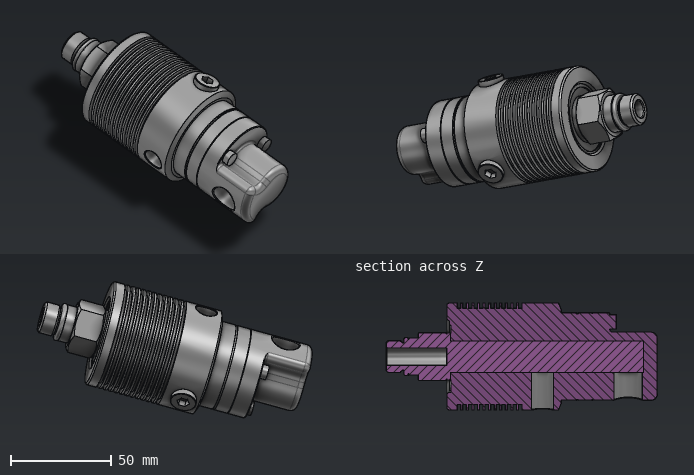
import cadquery as cq
import math

total_length = 135.2
hex_start = 16.0
hex_end = 30.1
housing_start = 30.3
collar_end = 87.3
neck_end = 111.5

spigot_radius = 8.0
spigot_length = 8.1
spigot_chamfer = 1.0
neck_radius = 6.9
bead_start = 8.8
bead_length = 2.5
bead_radius = 9.6
shoulder_radius = 9.3
hex_across_flats = 23.9
hex_chamfer_radius = 11.4
hex_chamfer_angle = 30.0
rotor_bore_radius = 4.26
rotor_bore_chamfer = 0.5
hub_radius = 11.8
shaft_radius = spigot_radius
shaft_end = 128.4

collar_radius = 26.7
collar_front_chamfer = 0.8
collar_rear_chamfer_length = 1.4
collar_rear_chamfer_depth = 3.2
groove_count = 12
groove_first = 35.5
groove_pitch = 2.77
groove_width = 1.6
groove_floor_radius = 24.13
body_radius = 21.83
body_edge_chamfer = 0.4
rim_chamfer_reach = 135.0
seam_start = 94.8
seam_width = 1.0
seam_depth = 0.4
joint_line_start = 102.5
joint_line_width = 0.3
joint_line_depth = 0.3

recess_radius = 17.7
recess_chamfer = 1.01
recess_depth = 2.0
recess_floor = housing_start + recess_depth
ring_thickness = 0.8
ring_inner_radius = 16.29
ring_inner_offset = 0.8
ear_offset_y = 14.5
ear_offset_z = 6.1
ear_radius = 2.37
ear_hole_radius = 1.01

boss_radius = 12.3
screw_circle_radius = 17.3
screw_head_radius = 3.58
screw_head_height = 3.2
screw_head_overlap = 1.4
screw_angles = (0.0, 120.0, 240.0)
screw_clearance_radius = 4.7
tongue_corner_radius = 3.5
run_out_length = 6.8
tongue_end_fillet = 3.2
tongue_root_fillet = 1.2

port_angle = 180.0
side_port_x = 78.0
side_port_radius = 5.34
side_port_chamfer = 0.4
tongue_port_x = 120.6
tongue_port_radius = 6.96
tongue_port_chamfer = 0.5
plug_angles = (60.0, -60.0)
plug_radius = 6.5
plug_top = 29.0
plug_root = 21.6
plug_edge_chamfer = 0.3
plug_socket_across_flats = 5.5
plug_socket_depth = 3.4

cut_margin = 1.4


def rod(start, end, radius):
    """Cylinder along X between two stations."""
    return cq.Workplane("YZ", origin=(start, 0, 0)).circle(radius).extrude(end - start)


def turned(points):
    """Solid of revolution about X from (x, radius) points; closed along the axis."""
    outline = [(points[0][0], 0)] + points + [(points[-1][0], 0)]
    return cq.Workplane("XY").polyline(outline).close().revolve(360, (0, 0, 0), (1, 0, 0))


def ring_cut(start, width, outer_radius, inner_radius):
    """Square-sided annular groove about X."""
    return rod(start, start + width, outer_radius).cut(rod(start, start + width, inner_radius))


def polar(radius, angle):
    """(y, z) of a point at an angle in degrees from +Y."""
    return radius * math.cos(math.radians(angle)), radius * math.sin(math.radians(angle))


def toward(start, end, distance):
    """Point at a distance from start on the way to end."""
    span = math.dist(start, end)
    return tuple(a + (b - a) * distance / span for a, b in zip(start, end))


def midpoint(a, b):
    return (a[0] + b[0]) / 2, (a[1] + b[1]) / 2


def mirrored(point):
    return point[0], -point[1]


def hexagon():
    corner_radius = hex_across_flats / math.sqrt(3)
    chamfer_length = (corner_radius - hex_chamfer_radius) * math.tan(math.radians(hex_chamfer_angle))
    prism = (
        cq.Workplane("YZ", origin=(hex_start, 0, 0))
        .polygon(6, 2 * corner_radius)
        .extrude(hex_end - hex_start)
        .rotate((0, 0, 0), (1, 0, 0), 30)
    )
    envelope = turned([
        (hex_start, hex_chamfer_radius),
        (hex_start + chamfer_length, corner_radius),
        (hex_end - chamfer_length, corner_radius),
        (hex_end, hex_chamfer_radius),
    ])
    return prism.intersect(envelope)


def round_bead():
    """Disc about X whose rim is a half circle."""
    rim_root = bead_radius - bead_length / 2
    bead_end = bead_start + bead_length
    return (
        cq.Workplane("XY")
        .moveTo(bead_start, 0)
        .lineTo(bead_start, rim_root)
        .threePointArc((bead_start + bead_length / 2, bead_radius), (bead_end, rim_root))
        .lineTo(bead_end, 0)
        .close()
        .revolve(360, (0, 0, 0), (1, 0, 0))
    )


def make_rotor():
    spigot = rod(0, spigot_length, spigot_radius).edges().chamfer(spigot_chamfer)
    shoulder = rod(bead_start + bead_length, hex_start, shoulder_radius)
    rotor = spigot.union(rod(spigot_length / 2, hex_start, neck_radius))
    rotor = rotor.union(round_bead()).union(shoulder).union(hexagon())
    rotor = rotor.union(rod(hex_end, recess_floor, hub_radius))
    rotor = rotor.union(rod(recess_floor, shaft_end, shaft_radius))
    return rotor.cut(turned([
        (0, rotor_bore_radius + rotor_bore_chamfer),
        (rotor_bore_chamfer, rotor_bore_radius),
        (hex_end, rotor_bore_radius),
    ]))


def turned_body():
    body = turned([
        (housing_start, collar_radius - collar_front_chamfer),
        (housing_start + collar_front_chamfer, collar_radius),
        (collar_end - collar_rear_chamfer_length, collar_radius),
        (collar_end, collar_radius - collar_rear_chamfer_depth),
        (collar_end, body_radius),
        (total_length, body_radius),
    ])
    for i in range(groove_count):
        start = groove_first + i * groove_pitch
        body = body.cut(ring_cut(start, groove_width, collar_radius + cut_margin, groove_floor_radius))
    outside = body_radius + cut_margin
    body = body.cut(ring_cut(seam_start, seam_width, outside, body_radius - seam_depth))
    return body.cut(ring_cut(joint_line_start, joint_line_width, outside, body_radius - joint_line_depth))


def front_recess():
    return turned([
        (housing_start, recess_radius + recess_chamfer),
        (housing_start + recess_chamfer, recess_radius),
        (recess_floor, recess_radius),
    ])


def retaining_ring():
    """Open ring on the recess floor, with a pierced ear at each end."""
    start = recess_floor - ring_thickness
    opening = rod(start, recess_floor, ring_inner_radius).translate((0, -ring_inner_offset, 0))
    ring = rod(start, recess_floor, recess_radius).cut(opening)
    gap = cq.Workplane("XY").box(
        ring_thickness, 2 * recess_radius, 2 * ear_offset_z
    ).translate((start + ring_thickness / 2, -ear_offset_y - recess_radius + cut_margin, 0))
    ring = ring.cut(gap)
    ear_places = [(-ear_offset_y, ear_offset_z), (-ear_offset_y, -ear_offset_z)]
    for y, z in ear_places:
        ring = ring.union(rod(start, recess_floor, ear_radius).translate((0, y, z)))
    for y, z in ear_places:
        ring = ring.cut(rod(start, recess_floor, ear_hole_radius).translate((0, y, z)))
    return ring


def tongue_surround():
    """Space round the tongue: a round boss, two flanks, hollows round the two lower screws
    and two corners that run out tangent to the outer cylinder."""
    screw_angle = screw_angles[1]
    screw = polar(screw_circle_radius, screw_angle)
    lean = math.degrees(math.acos((boss_radius + screw_clearance_radius) / screw_circle_radius))
    flank_angle = screw_angle - lean
    boss_point = polar(boss_radius, flank_angle)
    back = polar(screw_clearance_radius, flank_angle)
    hollow_start = (screw[0] - back[0], screw[1] - back[1])
    to_axis = body_radius - tongue_corner_radius
    to_screw = screw_clearance_radius + tongue_corner_radius
    turn = math.degrees(math.acos(
        (screw_circle_radius**2 + to_axis**2 - to_screw**2) / (2 * screw_circle_radius * to_axis)
    ))
    corner_angle = screw_angle + turn
    corner = polar(to_axis, corner_angle)
    hollow_end = toward(screw, corner, screw_clearance_radius)
    hollow_middle = toward(screw, midpoint(hollow_start, hollow_end), screw_clearance_radius)
    outer_point = polar(body_radius, corner_angle)
    corner_middle = toward(corner, midpoint(hollow_end, outer_point), tongue_corner_radius)
    run_out = polar(run_out_length, corner_angle + 90)
    clear_point = (outer_point[0] + run_out[0], outer_point[1] + run_out[1])
    far = 2 * body_radius
    return (
        cq.Workplane("YZ", origin=(neck_end, 0, 0))
        .moveTo(*mirrored(boss_point))
        .threePointArc((boss_radius, 0), boss_point)
        .lineTo(*hollow_start)
        .threePointArc(hollow_middle, hollow_end)
        .threePointArc(corner_middle, outer_point)
        .lineTo(*clear_point)
        .lineTo(clear_point[0], far)
        .lineTo(far, far)
        .lineTo(far, -far)
        .lineTo(clear_point[0], -far)
        .lineTo(*mirrored(clear_point))
        .lineTo(*mirrored(outer_point))
        .threePointArc(mirrored(corner_middle), mirrored(hollow_end))
        .threePointArc(mirrored(hollow_middle), mirrored(hollow_start))
        .close()
        .extrude(total_length - neck_end)
        .edges(cq.NearestToPointSelector((neck_end, boss_radius / 2, 0)))
        .fillet(tongue_root_fillet)
    )


def rim_chamfer():
    """Bevel on the outer rim of the end face, stopping short of the tongue on both sides."""
    inner = body_radius - body_edge_chamfer
    wedge = (
        cq.Workplane("XY")
        .polyline([
            (neck_end - body_edge_chamfer, body_radius),
            (neck_end + body_edge_chamfer, body_radius),
            (neck_end + body_edge_chamfer, inner),
            (neck_end, inner),
        ])
        .close()
        .revolve(2 * rim_chamfer_reach, (0, 0, 0), (1, 0, 0))
    )
    return wedge.rotate((0, 0, 0), (1, 0, 0), -rim_chamfer_reach)


def body_with_tongue():
    body = turned_body().cut(tongue_surround())
    body = body.faces(">X").edges().fillet(tongue_end_fillet)
    return body.cut(rim_chamfer())


def screw_head(angle):
    y, z = polar(screw_circle_radius, angle)
    head = rod(neck_end - screw_head_overlap, neck_end + screw_head_height, screw_head_radius)
    return head.translate((0, y, z))


def turned_to(shape, angle):
    """Shape built along +Z, turned about X to an angle in degrees from +Y."""
    return shape.rotate((0, 0, 0), (1, 0, 0), angle - 90)


def with_port(housing, x, wall_radius, port_radius, chamfer):
    """Housing with a radial port from the outer wall to the axis and a chamfer round its mouth."""
    port = cq.Workplane("XY", origin=(x, 0, 0)).circle(port_radius).extrude(wall_radius + cut_margin)
    mouth = (x, *polar(wall_radius, port_angle))
    housing = housing.cut(turned_to(port, port_angle))
    return housing.edges(cq.NearestToPointSelector(mouth)).chamfer(chamfer)


def plug_body(angle):
    """Closing plug of a side port."""
    body = cq.Workplane("XY", origin=(side_port_x, 0, plug_root)).circle(plug_radius)
    body = body.extrude(plug_top - plug_root).faces(">Z").edges().chamfer(plug_edge_chamfer)
    return turned_to(body, angle)


def plug_socket(angle):
    """Hexagon socket in the outer face of a plug."""
    socket = cq.Workplane("XY", origin=(side_port_x, 0, plug_top - plug_socket_depth))
    socket = socket.polygon(6, 2 * plug_socket_across_flats / math.sqrt(3)).extrude(plug_socket_depth)
    return turned_to(socket, angle)


def make_housing():
    housing = body_with_tongue()
    for angle in screw_angles:
        housing = housing.union(screw_head(angle))
    for angle in plug_angles:
        housing = housing.union(plug_body(angle)).cut(plug_socket(angle))
    housing = with_port(housing, side_port_x, collar_radius, side_port_radius, side_port_chamfer)
    housing = with_port(housing, tongue_port_x, body_radius, tongue_port_radius, tongue_port_chamfer)
    housing = housing.cut(front_recess()).union(retaining_ring())
    return housing.cut(rod(recess_floor, shaft_end, shaft_radius))


rotor = make_rotor()
housing = make_housing()
result = cq.Compound.makeCompound([rotor.val(), housing.val()])